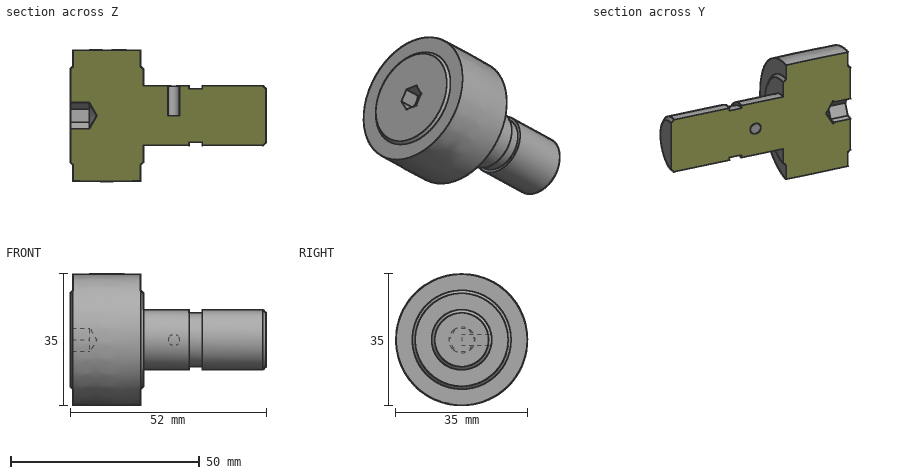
import cadquery as cq
import math


total_length = 52.0
head_length = 19.5
roller_width = 18.0
rear_washer_step = 0.8
thread_length = 17.0
relief_width = 3.4
end_chamfer = 0.85

roller_diameter = 35.0
washer_diameter = 26.3
stud_diameter = 16.0
relief_diameter = 14.4

crown_radius = 500.0

hex_sides = 6
hex_across_flats = 6.0
hex_depth = 5.0
socket_tip_angle = 120.0

oil_hole_diameter = 3.0
oil_hole_position = 27.5

roller_back = head_length - rear_washer_step
roller_front = roller_back - roller_width
roller_middle = (roller_front + roller_back) / 2
thread_start = total_length - thread_length
relief_start = thread_start - relief_width


def axial_disc(start, end, diameter):
    """Cylinder around the X axis between two positions."""
    return cq.Workplane("YZ", origin=(start, 0, 0)).circle(diameter / 2).extrude(end - start)


def make_roller():
    """Outer ring with a slightly crowned running surface."""
    half_width = roller_width / 2
    crown_drop = crown_radius - math.sqrt(crown_radius**2 - half_width**2)
    crown_top = roller_diameter / 2
    edge_radius = crown_top - crown_drop
    return (
        cq.Workplane("XZ")
        .moveTo(roller_front, 0)
        .lineTo(roller_front, edge_radius)
        .threePointArc((roller_middle, crown_top), (roller_back, edge_radius))
        .lineTo(roller_back, 0)
        .close()
        .revolve(360, (0, 0, 0), (1, 0, 0))
    )


def make_washers():
    """Side washers, bevelled over the whole height they stand out from the roller."""
    front = axial_disc(0, roller_middle, washer_diameter).faces("<X").chamfer(roller_front)
    rear = axial_disc(roller_middle, head_length, washer_diameter).faces(">X").chamfer(rear_washer_step)
    return front.union(rear)


def make_stud():
    """Plain shank, thread relief and plain thread cylinder with a chamfered end."""
    shank = axial_disc(roller_middle, relief_start, stud_diameter)
    relief = axial_disc(relief_start, thread_start, relief_diameter)
    thread = axial_disc(thread_start, total_length, stud_diameter).faces(">X").chamfer(end_chamfer)
    return shank.union(relief).union(thread)


def make_hex_socket():
    """Hexagon cutter with corners on the Y axis and a conical bottom."""
    across_corners = hex_across_flats / math.cos(math.pi / hex_sides)
    corner_radius = across_corners / 2
    tip_depth = corner_radius / math.tan(math.radians(socket_tip_angle / 2))
    hexagon = cq.Workplane("YZ").polygon(hex_sides, across_corners).extrude(hex_depth)
    tip_base = cq.Vector(hex_depth, 0, 0)
    inward = cq.Vector(1, 0, 0)
    tip = cq.Solid.makeCone(corner_radius, 0, tip_depth, tip_base, inward)
    return hexagon.union(cq.Workplane(tip))


def make_oil_hole():
    """Radial hole cutter from the stud axis out past the +Y side of the shank."""
    return (
        cq.Workplane("XZ", origin=(oil_hole_position, 0, 0))
        .circle(oil_hole_diameter / 2)
        .extrude(-stud_diameter)
    )


body = make_roller().union(make_washers()).union(make_stud())
result = body.cut(make_hex_socket()).cut(make_oil_hole())